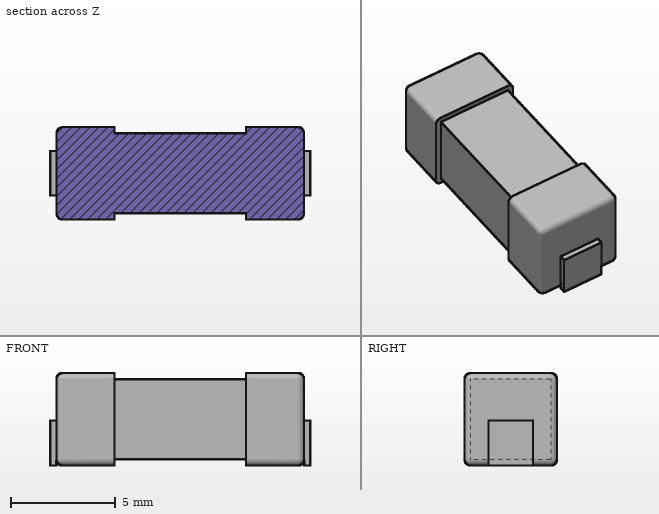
import cadquery as cq

overall_length = 12.5
cap_side = 4.45
underside = -cap_side / 2

tab_thickness = 0.3
tab_width = 2.15
tab_height = 2.18

caps_span = overall_length - 2 * tab_thickness
cap_length = 2.8
cap_round = 0.3

body_side = 3.86
body_length = caps_span - 2 * cap_round


def make_body():
    """Square bar running into both caps."""
    return cq.Workplane("XY").box(body_length, body_side, body_side)


def make_cap(side):
    """Cap at one end; side is -1 or +1 along X. The inner rim stays sharp."""
    outer_face = ">X" if side > 0 else "<X"
    block = cq.Workplane("XY").box(cap_length, cap_side, cap_side)
    rounded = block.edges(f"|X or {outer_face}").fillet(cap_round)
    return rounded.translate((side * (caps_span - cap_length) / 2, 0, 0))


def make_tab(side):
    """Flat terminal tab against the cap's end face, reaching down to the underside plane."""
    tab = cq.Workplane("XY").box(tab_thickness, tab_width, tab_height)
    center_x = side * (overall_length - tab_thickness) / 2
    return tab.translate((center_x, 0, underside + tab_height / 2))


result = make_body()
for end in (-1, 1):
    result = result.union(make_cap(end)).union(make_tab(end))